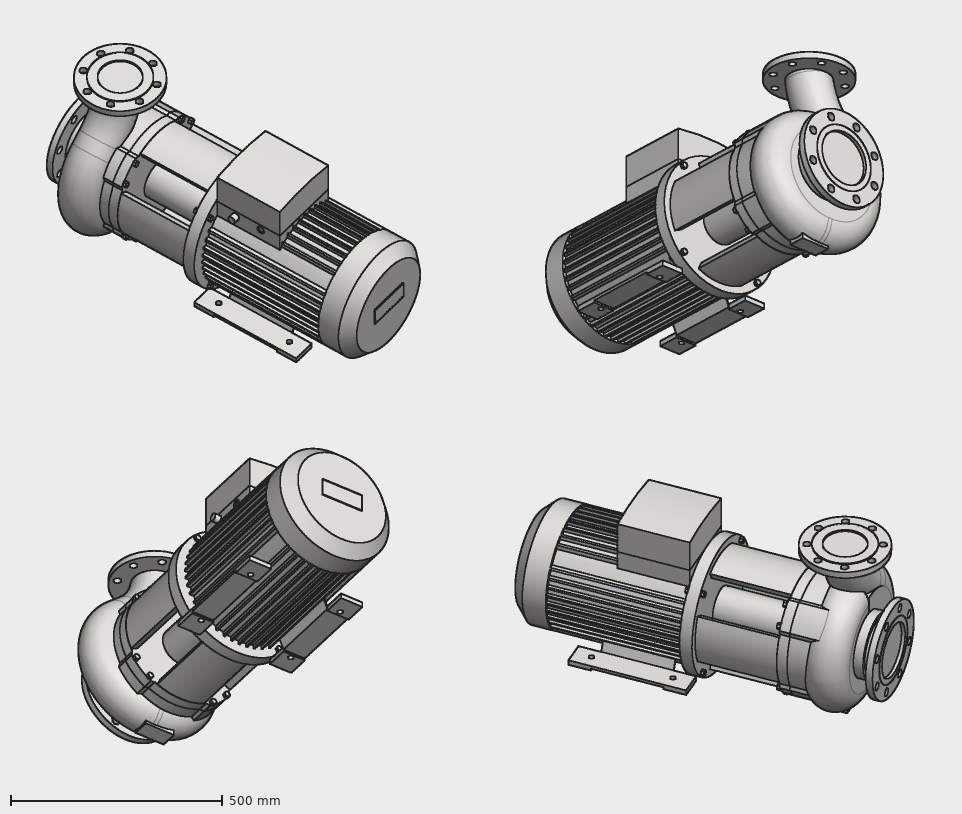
import cadquery as cq
import math

SUCTION_FLANGE_END = 18.0
NECK_END = 42.0
VOLUTE_X = 125.0
COVER_END = 208.0
LANTERN_PLATE_END = 234.0
MOTOR_FLANGE_START = 444.0
MOTOR_FLANGE_END = 476.0
FRAME_START = 484.0
FRAME_END = 829.0
COWL_CHAMFER_START = 889.0
COWL_END = 920.0
TOTAL_LENGTH = 923.0

SUCTION_FLANGE_DIA = 250.0
SUCTION_BOLT_CIRCLE_DIA = 209.5
SUCTION_HOLE_DIA = 20.0
SUCTION_FACE_DIA = 170.0
SUCTION_FACE_HEIGHT = 1.0
SUCTION_BORE_DIA = 139.0
SUCTION_BORE_DEPTH = 9.0
SUCTION_NECK_DIA = 149.5
SUCTION_COLLAR_DIA = 170.0

DISCHARGE_FLANGE_DIA = 220.0
DISCHARGE_FLANGE_BOTTOM = 259.0
DISCHARGE_FLANGE_TOP = 277.0
DISCHARGE_BOLT_CIRCLE_DIA = 180.0
DISCHARGE_HOLE_DIA = 18.0
DISCHARGE_FACE_DIA = 158.0
DISCHARGE_BORE_DIA = 107.0
DISCHARGE_BORE_DEPTH = 5.0
FLANGE_HOLES = 8
DISCHARGE_FACE_HEIGHT = 3.0

TUBE_RADIUS = 57.0
WIDE_ARC_DIA = 258.0
WIDE_ARC_Y = -20.0
NARROW_ARC_RADIUS = 119.0
NARROW_ARC_Y = -9.0
BRANCH_START_ANGLE = 130
BRANCH_STRAIGHT_LENGTH = 37.0
BRANCH_OVERRUN = 9.0
DRAIN_BOSS_LENGTH = 44.0
DRAIN_BOSS_WIDTH = 80.0
DRAIN_BOSS_BOTTOM = -189.0

RIM_RADIUS = 155.0
EAR_RADIUS = 162.0
EAR_HALF_ANGLE = 13.7
EAR_ROOT_RADIUS = 148.0
EAR_ROOT_HALF_ANGLE = 20.9
LEG_INNER_RADIUS = 136.0
LEG_OUTER_RADIUS = 156.0
LEG_HALF_ANGLE = 25.2
LANTERN_FLANGE_DIA = 350.0
COVER_BOLT_RADIUS = 157.0
COVER_BOLT_OFFSET_ANGLE = 10
BOLT_HEAD_WIDTH = 16.0
BOLT_HEAD_LENGTH = 8.0
SLEEVE_DIA = 101.5

SCREW_SHANK_DIA = 10.0
SCREW_CIRCLE_RADIUS = 164.0

SPIGOT_DIA = 232.0
FRAME_RADIUS = 146.0
FIN_TIP_RADIUS = RIM_RADIUS
FIN_PITCH = 21.5
FIN_WIDTH = 5.0
FINS_EACH_SIDE_OF_CENTRE = 4
COWL_END_DIA = 250.0
END_PLATE_WIDTH = 113.0
END_PLATE_HEIGHT = 46.0
END_PLATE_Z = 7.0

FOOT_START = 465.0
FOOT_END = 768.0
FOOT_OUTER_Y = 161.0
FOOT_INNER_Y = 100.0
FOOT_TOP = -145.0
FOOT_THICKNESS = 8.0
PAD_BOTTOM = -159.0
PAD_LENGTH = 58.0
FOOT_HOLE_DIA = 14.0
FOOT_HOLE_Y = 127.0
FOOT_HOLE_FIRST_X = 513.0
FOOT_HOLE_SPACING = 209.5
WEB_TOP_Y = 83.0
WEB_TOP_Z = -106.0

BOX_LENGTH = 186.0
BOX_HALF_WIDTH = 95.0
BOX_BOTTOM = 111.0
LID_BOTTOM = 160.0
LID_EDGE_TOP = 242.0
LID_CROWN_TOP = 249.0
ENTRY_DIA = 20.0
ENTRY_Z = 143.0
GLAND_X = 539.0
ENTRY_HOLE_X = 613.0
ENTRY_HOLE_DEPTH = 5.0
GLAND_LENGTH = 17.0

DIAGONALS = (45, 135, 225, 315)


def cross_section(x):
    """Workplane across the pump axis: local x is Y, local y is Z, extruding toward +X."""
    return cq.Workplane("YZ", origin=(x, 0, 0))


def disc(x_start, x_end, diameter):
    return cross_section(x_start).circle(diameter / 2).extrude(x_end - x_start)


def block(x_start, x_end, y_start, y_end, z_start, z_end):
    size = (x_end - x_start, y_end - y_start, z_end - z_start)
    return cq.Workplane("XY", origin=(x_start, y_start, z_start)).box(*size, centered=False)


def polar(radius, angle, centre=(0, 0)):
    turn = math.radians(angle)
    return (centre[0] + radius * math.cos(turn), centre[1] + radius * math.sin(turn))


def ring_sector(x_start, x_end, angle, inner, inner_half_angle, outer, outer_half_angle):
    """Piece of a ring between two radii, with its own half angle at each radius."""
    return (
        cross_section(x_start)
        .moveTo(*polar(inner, angle - inner_half_angle))
        .lineTo(*polar(outer, angle - outer_half_angle))
        .threePointArc(polar(outer, angle), polar(outer, angle + outer_half_angle))
        .lineTo(*polar(inner, angle + inner_half_angle))
        .threePointArc(polar(inner, angle), polar(inner, angle - inner_half_angle))
        .close()
        .extrude(x_end - x_start)
    )


def eared_disc(x_start, x_end):
    """Round plate with a raised, sloping-sided ear on each diagonal."""
    plate = disc(x_start, x_end, 2 * RIM_RADIUS)
    for angle in DIAGONALS:
        ear = ring_sector(
            x_start, x_end, angle, EAR_ROOT_RADIUS, EAR_ROOT_HALF_ANGLE, EAR_RADIUS, EAR_HALF_ANGLE
        )
        plate = plate.union(ear)
    return plate


def radial_plane(centre, angle):
    """Plane through the pump axis direction: local x is X, local y points outward at the angle."""
    turn = math.radians(angle)
    return cq.Plane(
        origin=(VOLUTE_X, *centre), xDir=(1, 0, 0), normal=(0, -math.sin(turn), math.cos(turn))
    )


def scroll_profile(centre, radius, angle):
    """Half section of the scroll: a flat-sided core with a round outer edge."""
    return (
        cq.Workplane(radial_plane(centre, angle))
        .moveTo(-TUBE_RADIUS, 0)
        .lineTo(-TUBE_RADIUS, radius)
        .threePointArc((0, radius + TUBE_RADIUS), (TUBE_RADIUS, radius))
        .lineTo(TUBE_RADIUS, 0)
        .close()
    )


def scroll_sector(centre, radius, start_angle, end_angle):
    profile = scroll_profile(centre, radius, start_angle)
    return profile.revolve(end_angle - start_angle, (0, 0, 0), (1, 0, 0))


def make_branch_tube(centre, radius):
    """Tube that leaves the scroll straight, then bends up into the discharge flange."""
    heading = BRANCH_START_ANGLE - 90
    start = polar(radius, BRANCH_START_ANGLE, centre)
    bend_start = polar(BRANCH_STRAIGHT_LENGTH, heading, start)
    bend_end = (0, DISCHARGE_FLANGE_BOTTOM)

    chord_heading = math.degrees(math.atan2(bend_end[1] - bend_start[1], bend_end[0] - bend_start[0]))
    end_heading = 2 * chord_heading - heading
    path = (
        cross_section(VOLUTE_X)
        .moveTo(*start)
        .lineTo(*bend_start)
        .tangentArcPoint(bend_end, relative=False)
        .lineTo(*polar(BRANCH_OVERRUN, end_heading, bend_end))
    )
    start_plane = cq.Plane(origin=(VOLUTE_X, *start), xDir=(1, 0, 0), normal=(0, *polar(1, heading)))
    tube = cq.Workplane(start_plane).circle(TUBE_RADIUS).sweep(path)

    above_flange = (
        cq.Workplane("XY", origin=(VOLUTE_X, 0, DISCHARGE_FLANGE_BOTTOM))
        .rect(DISCHARGE_FLANGE_DIA, DISCHARGE_FLANGE_DIA)
        .extrude(DISCHARGE_FLANGE_DIA)
    )
    return tube.cut(above_flange)


def make_tongue(centre, radius, end_angle):
    """Flat-sided core between the discharge branch and the narrow half of the scroll."""
    middle_angle = (BRANCH_START_ANGLE + end_angle) / 2
    return (
        cross_section(VOLUTE_X - TUBE_RADIUS)
        .moveTo(*centre)
        .lineTo(*polar(radius, BRANCH_START_ANGLE, centre))
        .threePointArc(polar(radius, middle_angle, centre), polar(radius, end_angle, centre))
        .close()
        .extrude(2 * TUBE_RADIUS)
    )


def make_volute():
    wide_radius = WIDE_ARC_DIA / 2
    wide_centre = (WIDE_ARC_Y, 0)
    narrow_centre = (NARROW_ARC_Y, NARROW_ARC_RADIUS - wide_radius)
    bridge_length = NARROW_ARC_Y - WIDE_ARC_Y
    bridge = scroll_profile(wide_centre, wide_radius, -90).extrude(bridge_length)
    tongue_end_angle = math.degrees(math.acos(bridge_length / wide_radius))
    return (
        scroll_sector(wide_centre, wide_radius, BRANCH_START_ANGLE, 270)
        .union(bridge)
        .union(scroll_sector(narrow_centre, NARROW_ARC_RADIUS, -90, 90))
        .union(make_tongue(wide_centre, wide_radius, tongue_end_angle))
        .union(make_branch_tube(wide_centre, wide_radius))
    )


def make_suction_branch():
    return (
        disc(0, SUCTION_FLANGE_END, SUCTION_FACE_DIA)
        .union(disc(SUCTION_FACE_HEIGHT, SUCTION_FLANGE_END, SUCTION_FLANGE_DIA))
        .union(disc(SUCTION_FLANGE_END, NECK_END, SUCTION_NECK_DIA))
        .union(disc(NECK_END, VOLUTE_X, SUCTION_COLLAR_DIA))
    )


def cut_suction_openings(casing):
    holes = (
        cross_section(0)
        .polarArray(SUCTION_BOLT_CIRCLE_DIA / 2, 180 / FLANGE_HOLES, 360, FLANGE_HOLES)
        .circle(SUCTION_HOLE_DIA / 2)
        .extrude(SUCTION_FLANGE_END)
    )
    return casing.cut(holes).cut(disc(0, SUCTION_BORE_DEPTH, SUCTION_BORE_DIA))


def make_discharge_flange():
    face_top = DISCHARGE_FLANGE_TOP + DISCHARGE_FACE_HEIGHT
    flange = cq.Workplane("XY", origin=(VOLUTE_X, 0, DISCHARGE_FLANGE_BOTTOM))
    thickness = DISCHARGE_FLANGE_TOP - DISCHARGE_FLANGE_BOTTOM
    plate = flange.circle(DISCHARGE_FLANGE_DIA / 2).extrude(thickness)
    raised_face = flange.circle(DISCHARGE_FACE_DIA / 2).extrude(thickness + DISCHARGE_FACE_HEIGHT)
    holes = (
        flange.polarArray(DISCHARGE_BOLT_CIRCLE_DIA / 2, 180 / FLANGE_HOLES, 360, FLANGE_HOLES)
        .circle(DISCHARGE_HOLE_DIA / 2)
        .extrude(thickness)
    )
    bore = (
        cq.Workplane("XY", origin=(VOLUTE_X, 0, face_top - DISCHARGE_BORE_DEPTH))
        .circle(DISCHARGE_BORE_DIA / 2)
        .extrude(DISCHARGE_BORE_DEPTH)
    )
    return plate.union(raised_face).cut(holes).cut(bore)


def make_casing():
    drain_boss = block(
        VOLUTE_X - DRAIN_BOSS_LENGTH / 2,
        VOLUTE_X + DRAIN_BOSS_LENGTH / 2,
        -DRAIN_BOSS_WIDTH / 2,
        DRAIN_BOSS_WIDTH / 2,
        DRAIN_BOSS_BOTTOM,
        -WIDE_ARC_DIA / 2,
    )
    casing = (
        make_volute()
        .union(eared_disc(VOLUTE_X, COVER_END))
        .union(make_suction_branch())
        .union(make_discharge_flange())
        .union(drain_boss)
    )
    return cut_suction_openings(casing)


def hexagon_heads(x, places, length):
    return cross_section(x).pushPoints(places).polygon(6, BOLT_HEAD_WIDTH).extrude(length)


def screw_places():
    return [polar(SCREW_CIRCLE_RADIUS, angle) for angle in DIAGONALS]


def make_lantern():
    flange = disc(MOTOR_FLANGE_START, MOTOR_FLANGE_END, LANTERN_FLANGE_DIA)
    screw_holes = (
        cross_section(MOTOR_FLANGE_START)
        .pushPoints(screw_places())
        .circle(SCREW_SHANK_DIA / 2)
        .extrude(MOTOR_FLANGE_END - MOTOR_FLANGE_START)
    )
    lantern = eared_disc(COVER_END, LANTERN_PLATE_END).union(flange.cut(screw_holes))
    for angle in (0, 90, 180, 270):
        leg = ring_sector(
            LANTERN_PLATE_END,
            MOTOR_FLANGE_START,
            angle,
            LEG_INNER_RADIUS,
            LEG_HALF_ANGLE,
            LEG_OUTER_RADIUS,
            LEG_HALF_ANGLE,
        )
        lantern = lantern.union(leg)

    bolt_places = [
        polar(COVER_BOLT_RADIUS, angle + offset)
        for angle in DIAGONALS
        for offset in (-COVER_BOLT_OFFSET_ANGLE, COVER_BOLT_OFFSET_ANGLE)
    ]
    return lantern.union(hexagon_heads(LANTERN_PLATE_END, bolt_places, BOLT_HEAD_LENGTH))


def make_sleeve():
    return disc(LANTERN_PLATE_END, MOTOR_FLANGE_START, SLEEVE_DIA)


def make_motor_screw(place):
    """Screw with its head on the lantern side of the flange and its nut on the motor side."""
    head = hexagon_heads(MOTOR_FLANGE_START - BOLT_HEAD_LENGTH, [place], BOLT_HEAD_LENGTH)
    shank = (
        cross_section(MOTOR_FLANGE_START)
        .center(*place)
        .circle(SCREW_SHANK_DIA / 2)
        .extrude(MOTOR_FLANGE_END - MOTOR_FLANGE_START)
    )
    nut = hexagon_heads(MOTOR_FLANGE_END, [place], FRAME_START - MOTOR_FLANGE_END)
    return head.union(shank).union(nut)


def make_frame():
    """Round frame with parallel fins on the top, bottom and both sides."""
    length = FRAME_END - FRAME_START
    fin_span = 2 * FIN_TIP_RADIUS
    fin_numbers = range(-FINS_EACH_SIDE_OF_CENTRE, FINS_EACH_SIDE_OF_CENTRE + 1)
    offsets = [number * FIN_PITCH for number in fin_numbers]
    upright = (
        cross_section(FRAME_START)
        .pushPoints([(offset, 0) for offset in offsets])
        .rect(FIN_WIDTH, fin_span)
        .extrude(length)
    )
    level = (
        cross_section(FRAME_START)
        .pushPoints([(0, offset) for offset in offsets])
        .rect(fin_span, FIN_WIDTH)
        .extrude(length)
    )
    envelope = disc(FRAME_START, FRAME_END, fin_span)
    fins = upright.union(level).intersect(envelope)
    return disc(FRAME_START, FRAME_END, 2 * FRAME_RADIUS).union(fins)


def make_cowl():
    cowl = (
        cq.Workplane("XY")
        .moveTo(FRAME_END, 0)
        .lineTo(FRAME_END, RIM_RADIUS)
        .lineTo(COWL_CHAMFER_START, RIM_RADIUS)
        .lineTo(COWL_END, COWL_END_DIA / 2)
        .lineTo(COWL_END, 0)
        .close()
        .revolve(360, (0, 0, 0), (1, 0, 0))
    )
    end_plate = block(
        COWL_END,
        TOTAL_LENGTH,
        -END_PLATE_WIDTH / 2,
        END_PLATE_WIDTH / 2,
        END_PLATE_Z - END_PLATE_HEIGHT / 2,
        END_PLATE_Z + END_PLATE_HEIGHT / 2,
    )
    return cowl.union(end_plate)


def make_foot():
    """Foot on the +Y side: a plate on two pads, joined to the frame by a sloping web."""
    plate_bottom = FOOT_TOP - FOOT_THICKNESS
    web_start = FOOT_START + PAD_LENGTH
    web_end = FOOT_END - PAD_LENGTH
    foot = block(FOOT_START, FOOT_END, FOOT_INNER_Y, FOOT_OUTER_Y, plate_bottom, FOOT_TOP)
    for pad_start in (FOOT_START, web_end):
        pad = block(
            pad_start, pad_start + PAD_LENGTH, FOOT_INNER_Y, FOOT_OUTER_Y, PAD_BOTTOM, plate_bottom
        )
        foot = foot.union(pad)
    web = (
        cross_section(web_start)
        .polyline(
            [
                (FOOT_INNER_Y, FOOT_TOP),
                (WEB_TOP_Y, WEB_TOP_Z),
                (WEB_TOP_Y, WEB_TOP_Z - FOOT_THICKNESS),
                (FOOT_INNER_Y, plate_bottom),
            ]
        )
        .close()
        .extrude(web_end - web_start)
    )
    holes = (
        cq.Workplane("XY", origin=(FOOT_HOLE_FIRST_X, FOOT_HOLE_Y, PAD_BOTTOM))
        .pushPoints([(0, 0), (FOOT_HOLE_SPACING, 0)])
        .circle(FOOT_HOLE_DIA / 2)
        .extrude(FOOT_TOP - PAD_BOTTOM)
    )
    return foot.union(web).cut(holes)


def box_envelope(z_start, z_end):
    return block(
        FRAME_START, FRAME_START + BOX_LENGTH, -BOX_HALF_WIDTH, BOX_HALF_WIDTH, z_start, z_end
    )


def make_motor():
    foot = make_foot()
    motor = (
        disc(MOTOR_FLANGE_END, FRAME_START, SPIGOT_DIA)
        .union(make_frame())
        .union(make_cowl())
        .union(foot)
        .union(foot.mirror("XZ"))
    )
    return motor.cut(box_envelope(BOX_BOTTOM, LID_BOTTOM))


def make_terminal_box():
    base = box_envelope(BOX_BOTTOM, LID_BOTTOM)
    side = cq.Workplane("XZ", origin=(0, -BOX_HALF_WIDTH, 0))
    gland = side.center(GLAND_X, ENTRY_Z).circle(ENTRY_DIA / 2).extrude(GLAND_LENGTH)
    entry_hole = side.center(ENTRY_HOLE_X, ENTRY_Z).circle(ENTRY_DIA / 2).extrude(-ENTRY_HOLE_DEPTH)
    return base.union(gland).cut(entry_hole)


def make_lid():
    return (
        cross_section(FRAME_START)
        .moveTo(-BOX_HALF_WIDTH, LID_BOTTOM)
        .lineTo(-BOX_HALF_WIDTH, LID_EDGE_TOP)
        .threePointArc((0, LID_CROWN_TOP), (BOX_HALF_WIDTH, LID_EDGE_TOP))
        .lineTo(BOX_HALF_WIDTH, LID_BOTTOM)
        .close()
        .extrude(BOX_LENGTH)
    )


casing = make_casing()
lantern = make_lantern()
sleeve = make_sleeve()
motor = make_motor()
terminal_box = make_terminal_box()
lid = make_lid()
motor_screws = [make_motor_screw(place).val() for place in screw_places()]

result = cq.Compound.makeCompound(
    [
        casing.val(),
        lantern.val(),
        sleeve.val(),
        motor.val(),
        terminal_box.val(),
        lid.val(),
        *motor_screws,
    ]
)